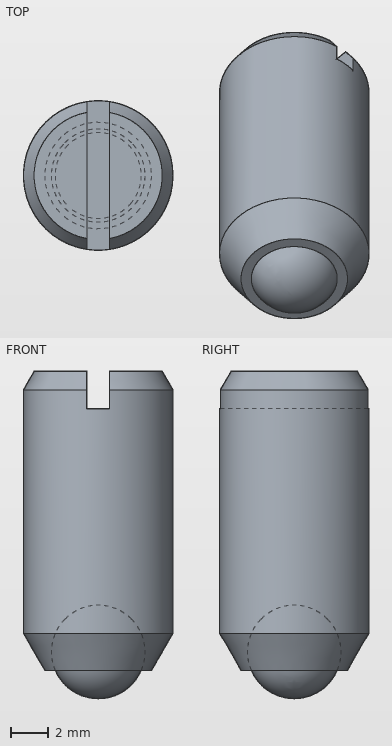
import cadquery as cq
import math

total_length = 17.5
housing_diameter = 8.0
ball_diameter = 5.0
ball_protrusion = 1.5
nose_height = 2.0
top_chamfer_height = 1.0
taper_angle = 30.0
slot_width = 1.2
slot_depth = 2.0

housing_radius = housing_diameter / 2
ball_radius = ball_diameter / 2
taper = math.tan(math.radians(taper_angle))
nose_radius = housing_radius - nose_height * taper
top_radius = housing_radius - top_chamfer_height * taper


def make_ball():
    """Ball resting with its lowest point at Z = 0."""
    return cq.Workplane("XY").sphere(ball_radius).translate((0, 0, ball_radius))


def make_slot():
    """Screwdriver slot along Y, cut down from the top face."""
    return (
        cq.Workplane("XY")
        .box(slot_width, housing_diameter, slot_depth, centered=(True, True, False))
        .translate((0, 0, total_length - slot_depth))
    )


def make_housing():
    """Turned body with a cone at each end, a slot and a ball seat."""
    body = (
        cq.Workplane("XZ")
        .moveTo(0, ball_protrusion)
        .lineTo(nose_radius, ball_protrusion)
        .lineTo(housing_radius, ball_protrusion + nose_height)
        .lineTo(housing_radius, total_length - top_chamfer_height)
        .lineTo(top_radius, total_length)
        .lineTo(0, total_length)
        .close()
        .revolve(360, (0, 0, 0), (0, 1, 0))
    )
    return body.cut(make_slot()).cut(make_ball())


housing = make_housing()
ball = make_ball()

result = cq.Compound.makeCompound([housing.solids().val(), ball.val()])